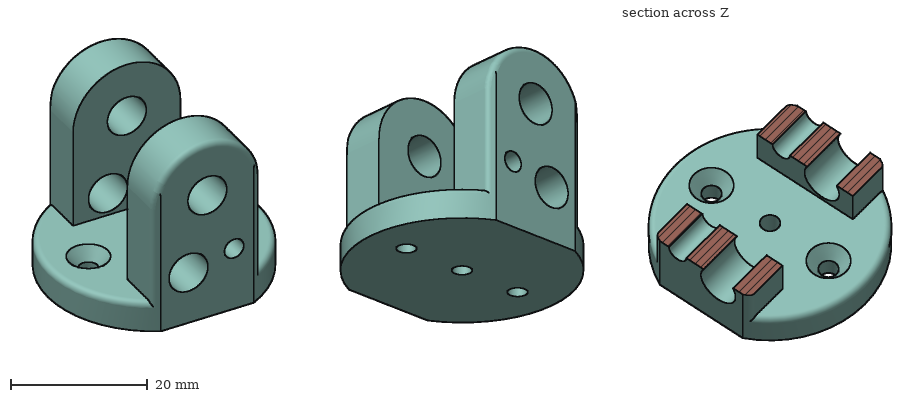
import cadquery as cq
import math

base_diameter = 35.6
width_across_flats = 32.0
base_height = 5.0
edge_radius = 1.0

total_height = 30.35
arm_width = 18.0
arm_gap = 16.3
arm_radius = arm_width / 2
arm_center_z = total_height - arm_radius

cross_holes = [
    (0, arm_center_z, 6.5),
    (-3.17, 8.83, 6.5),
    (4.5, 10.57, 3.25),
]

base_hole_diameter = 3.0
countersink_diameter = 6.5
countersink_depth = 2.0
countersink_step = (countersink_diameter - base_hole_diameter) / 2
countersink_angle = 2 * math.degrees(math.atan(countersink_step / countersink_depth))
screw_offset = 11.0

tolerance = 0.05


def flatted_disc(height):
    """Disc standing on the XY plane, trimmed to the width across flats."""
    disc = cq.Workplane("XY").circle(base_diameter / 2).extrude(height)
    trim = cq.Workplane("XY").box(
        width_across_flats, base_diameter, height, centered=(True, True, False)
    )
    return disc.intersect(trim)


def arm_pair():
    """Two round-topped arms whose outer faces follow the base outline."""
    profile = (
        cq.Workplane("YZ")
        .moveTo(-arm_radius, 0)
        .lineTo(-arm_radius, arm_center_z)
        .threePointArc((0, total_height), (arm_radius, arm_center_z))
        .lineTo(arm_radius, 0)
        .close()
        .extrude(width_across_flats / 2, both=True)
    )
    gap = cq.Workplane("XY").box(
        arm_gap, base_diameter, total_height, centered=(True, True, False)
    )
    return profile.intersect(flatted_disc(total_height)).cut(gap)


def outer_edges(body):
    """Upper rim of the base and the outer outline of both arms."""
    edges = []
    for edge in body.edges("not |X").vals():
        center = edge.Center()
        is_straight = edge.geomType() == "LINE"
        on_base_top = abs(center.z - base_height) < tolerance
        on_arm = center.z > base_height + tolerance
        on_arm_side = abs(abs(center.y) - arm_radius) < tolerance
        off_inner_face = abs(center.x) > arm_gap / 2 + tolerance

        is_rim = on_base_top and not is_straight
        is_arm_outline = on_arm and off_inner_face and (on_arm_side or not is_straight)
        if is_rim or is_arm_outline:
            edges.append(edge)
    return edges


body = flatted_disc(base_height).union(arm_pair())
body = body.newObject(outer_edges(body)).fillet(edge_radius)

for y, z, diameter in cross_holes:
    drill = (
        cq.Workplane("YZ")
        .center(y, z)
        .circle(diameter / 2)
        .extrude(base_diameter / 2, both=True)
    )
    body = body.cut(drill)

base_top = body.copyWorkplane(cq.Workplane("XY", origin=(0, 0, base_height)))
body = base_top.circle(base_hole_diameter / 2).cutBlind(-base_height)

screw_places = [(0, -screw_offset), (0, screw_offset)]
result = (
    body.copyWorkplane(cq.Workplane("XY", origin=(0, 0, base_height)))
    .pushPoints(screw_places)
    .cskHole(base_hole_diameter, countersink_diameter, countersink_angle, depth=base_height)
)